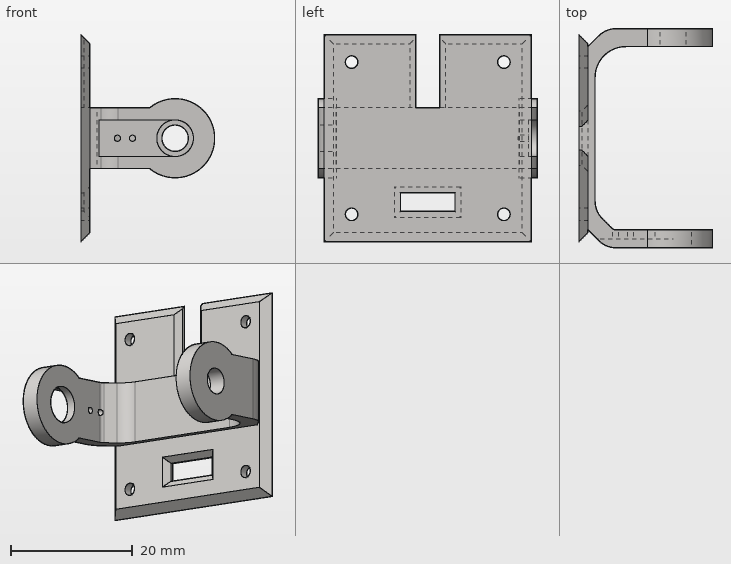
import cadquery as cq
import math


plate_side = 34.0
plate_thickness = 1.5
corner_hole_diameter = 2.0
corner_hole_offset = 12.5
slot_width = 3.9
window_width = 8.9
window_height = 3.0
window_center_z = -10.48
lip_thickness = 0.5
flare = plate_thickness - lip_thickness

overall_width = 36.0
overall_depth = 22.0
arm_thickness = 3.0
arm_height = 10.0
web_inner_x = 2.7
outer_y = overall_width / 2
inner_y = outer_y - arm_thickness
outer_bend_radius = 4.0
inner_bend_radius = outer_bend_radius - arm_thickness
bend_center_x = 6.12
bend_center_y = outer_y - outer_bend_radius
web_fillet_radius = 4.0
far_inner_radius = 5.0

eye_radius = 6.5
eye_center_x = overall_depth - eye_radius
near_bore_diameter = 6.0
far_bore_diameter = 4.3

recess_depth = 1.45
pin_hole_diameter = 1.0
pin_hole_xs = (6.0, 8.5)

cos_45 = math.cos(math.radians(45))


def on_circle(center_x, center_y, radius, degrees):
    angle = math.radians(degrees)
    return center_x + radius * math.cos(angle), center_y + radius * math.sin(angle)


def block(x_start, x_end, y_start, y_end, z_start, z_end):
    size = (x_end - x_start, y_end - y_start, z_end - z_start)
    return cq.Workplane("XY").box(*size, centered=False).translate((x_start, y_start, z_start))


def y_cylinder(x, diameter, y_start, y_end):
    disc = cq.Workplane("XZ", origin=(x, y_start, 0)).circle(diameter / 2)
    return disc.extrude(y_start - y_end)


def make_plate():
    """Plate with bevelled rim, corner holes and a flared window."""
    inner_side = plate_side - 2 * plate_thickness
    plate = (
        cq.Workplane("YZ").rect(plate_side, plate_side)
        .workplane(offset=plate_thickness).rect(inner_side, inner_side)
        .loft(ruled=True)
    )
    holes = (
        cq.Workplane("YZ")
        .rect(2 * corner_hole_offset, 2 * corner_hole_offset, forConstruction=True)
        .vertices().circle(corner_hole_diameter / 2).extrude(plate_thickness)
    )
    window_origin = (0, 0, window_center_z)
    window = cq.Workplane("YZ", origin=window_origin).rect(window_width, window_height).extrude(lip_thickness)
    window_flare = (
        cq.Workplane("YZ", origin=(lip_thickness, 0, window_center_z))
        .rect(window_width, window_height)
        .workplane(offset=flare).rect(window_width + 2 * flare, window_height + 2 * flare)
        .loft(ruled=True)
    )
    return plate.cut(holes).cut(window).cut(window_flare)


def make_slot():
    """Flared slot running from the arm's top level out through the plate's top edge."""
    half_width = slot_width / 2
    return (
        cq.Workplane("XY", origin=(0, 0, arm_height / 2))
        .moveTo(0, -half_width)
        .lineTo(lip_thickness, -half_width)
        .lineTo(plate_thickness, -half_width - flare)
        .lineTo(plate_thickness, half_width + flare)
        .lineTo(lip_thickness, half_width)
        .lineTo(0, half_width)
        .close()
        .extrude(plate_side / 2)
    )


def make_bracket():
    """Web and two bent arms, with an eye at the end of each arm."""
    outer_tangent = on_circle(bend_center_x, bend_center_y, outer_bend_radius, 135)
    slope_start_y = outer_tangent[1] - (outer_tangent[0] - plate_thickness)

    inner_tangent = on_circle(bend_center_x, bend_center_y, inner_bend_radius, 135)
    fillet_center_x = web_inner_x + web_fillet_radius
    fillet_tangent_x = fillet_center_x - web_fillet_radius * cos_45
    fillet_tangent_y = inner_tangent[1] - (inner_tangent[0] - fillet_tangent_x)
    fillet_center_y = fillet_tangent_y - web_fillet_radius * cos_45

    far_center_x = web_inner_x + far_inner_radius
    far_center_y = inner_y - far_inner_radius
    outer_mid = on_circle(bend_center_x, bend_center_y, outer_bend_radius, 112.5)
    inner_mid = on_circle(bend_center_x, bend_center_y, inner_bend_radius, 112.5)
    fillet_mid = on_circle(fillet_center_x, fillet_center_y, web_fillet_radius, 157.5)

    bracket = (
        cq.Workplane("XY", origin=(0, 0, -arm_height / 2))
        .moveTo(plate_thickness, slope_start_y)
        .lineTo(*outer_tangent)
        .threePointArc(outer_mid, (bend_center_x, outer_y))
        .lineTo(eye_center_x, outer_y)
        .lineTo(eye_center_x, inner_y)
        .lineTo(far_center_x, inner_y)
        .threePointArc(
            on_circle(far_center_x, far_center_y, far_inner_radius, 135),
            (web_inner_x, far_center_y),
        )
        .lineTo(web_inner_x, -fillet_center_y)
        .threePointArc((fillet_mid[0], -fillet_mid[1]), (fillet_tangent_x, -fillet_tangent_y))
        .lineTo(inner_tangent[0], -inner_tangent[1])
        .threePointArc((inner_mid[0], -inner_mid[1]), (bend_center_x, -inner_y))
        .lineTo(eye_center_x, -inner_y)
        .lineTo(eye_center_x, -outer_y)
        .lineTo(bend_center_x, -outer_y)
        .threePointArc((outer_mid[0], -outer_mid[1]), (outer_tangent[0], -outer_tangent[1]))
        .lineTo(plate_thickness, -slope_start_y)
        .close()
        .extrude(arm_height)
    )
    for y_start, y_end in ((-outer_y, -inner_y), (inner_y, outer_y)):
        bracket = bracket.union(y_cylinder(eye_center_x, 2 * eye_radius, y_start, y_end))

    bracket = bracket.cut(y_cylinder(eye_center_x, near_bore_diameter, -outer_y, -inner_y))
    bracket = bracket.cut(y_cylinder(eye_center_x, far_bore_diameter, inner_y, outer_y))

    recess = block(
        plate_thickness, eye_center_x,
        -outer_y, -outer_y + recess_depth,
        -near_bore_diameter / 2, near_bore_diameter / 2,
    )
    bracket = bracket.cut(recess)
    for x in pin_hole_xs:
        bracket = bracket.cut(y_cylinder(x, pin_hole_diameter, -outer_y, -bend_center_y + inner_bend_radius))
    return bracket


result = make_plate().cut(make_slot()).union(make_bracket())